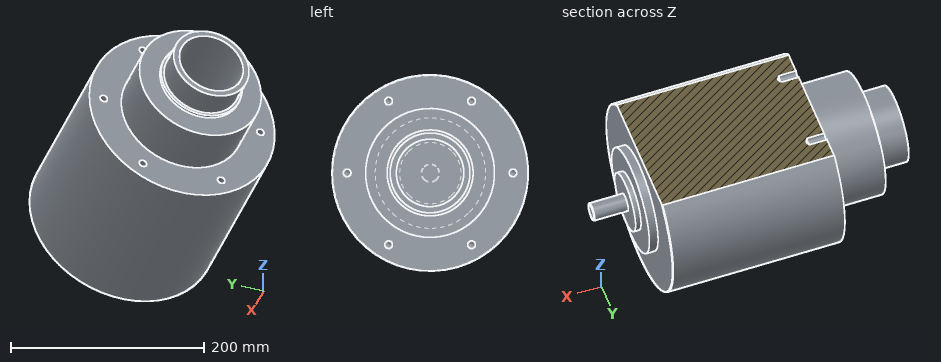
import cadquery as cq
import math

INCH = 25.4

total_length = 334.52
body_diameter = 8.0 * INCH

shaft_diameter = 0.75 * INCH
shaft_length = 37.5
shaft_chamfer = 0.75
boss_diameter = 2.5 * INCH
boss_length = 6.0
pilot_diameter = 4.5 * INCH
pilot_length = 0.375 * INCH

tube_diameter = 3.25 * INCH
tube_bore_diameter = 2.75 * INCH
tube_length = 1.2 * INCH
collar_diameter = 3.5 * INCH
collar_length = 4.0
hub_diameter = 5.25 * INCH
hub_length = 57.5

body_chamfer = 0.8

hole_count = 6
hole_diameter = 0.3125 * INCH
hole_circle_diameter = 6.75 * INCH
hole_depth = 0.75 * INCH
drill_point_angle = 118.0

collar_start = tube_length
hub_start = collar_start + collar_length
body_start = hub_start + hub_length
shaft_start = total_length - shaft_length
boss_start = shaft_start - boss_length
pilot_start = boss_start - pilot_length


def cylinder(start, end, diameter):
    """Solid cylinder on the X axis between two stations."""
    return cq.Workplane("YZ", origin=(start, 0, 0)).circle(diameter / 2).extrude(end - start)


def drilled_hole(y, z):
    """Cutter for one blind hole with a conical drill point, entering the body along +X."""
    radius = hole_diameter / 2
    point_length = radius / math.tan(math.radians(drill_point_angle / 2))
    profile = [(0, 0), (0, radius), (hole_depth, radius), (hole_depth + point_length, 0)]
    cutter = cq.Workplane("XY").polyline(profile).close().revolve(360, (0, 0, 0), (1, 0, 0))
    return cutter.translate((body_start, y, z))


def make_tube_end():
    tube = cylinder(0, collar_start, tube_diameter)
    collar = cylinder(collar_start, hub_start, collar_diameter)
    hub = cylinder(hub_start, body_start, hub_diameter)
    return tube.union(collar).union(hub)


def make_body():
    return cylinder(body_start, pilot_start, body_diameter).faces(">X").chamfer(body_chamfer)


def make_drive_end():
    pilot = cylinder(pilot_start, boss_start, pilot_diameter)
    boss = cylinder(boss_start, shaft_start, boss_diameter)
    shaft = cylinder(shaft_start, total_length, shaft_diameter).faces(">X").chamfer(shaft_chamfer)
    return pilot.union(boss).union(shaft)


result = make_body().union(make_tube_end()).union(make_drive_end())

result = result.cut(cylinder(0, body_start, tube_bore_diameter))

for index in range(hole_count):
    angle = 2 * math.pi * index / hole_count
    hole_y = hole_circle_diameter / 2 * math.cos(angle)
    hole_z = hole_circle_diameter / 2 * math.sin(angle)
    result = result.cut(drilled_hole(hole_y, hole_z))